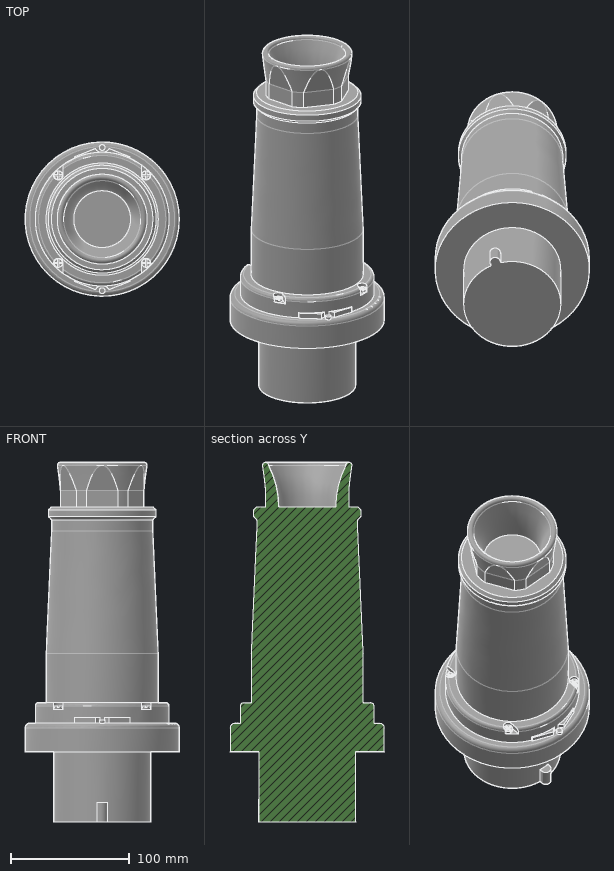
import cadquery as cq
import math

total_height = 303.0
flange_bottom = 59.0
flange_top = 83.3
collar_top = 100.5
barrel_top = 141.8
taper_top = 245.0
ring_bottom = 254.5
ring_top = 265.5
flare_bottom = 279.0

plug_radius = 41.0
flange_radius = 130.0 / 2
collar_radius = 56.5
barrel_radius = 47.3
neck_radius = 42.7
ring_radius = 45.5
nut_radius = 70.5 / 2
rim_radius = 38.0
cup_mouth_radius = 32.5
cup_floor_radius = 24.0

flange_fillet = 4.0
collar_fillet = 2.7
ring_chamfer = ring_radius - neck_radius
rim_round = (rim_radius - cup_mouth_radius) / 2
rim_base = total_height - rim_round

flat_distance = 32.7

key_radius = 8.8 / 2
key_height = 16.5
key_center_y = barrel_radius - key_radius

screw_offset = 37.0
screw_slot_radius = 4.0
screw_slot_depth = 5.8
screw_head_radius = 3.5
screw_head_height = 2.7
screw_cross_width = 1.2
screw_cross_depth = 1.2

pointer_height = 4.5
pointer_half_length = 23.3
pointer_end_y = 52.5
pointer_peak_x = 5.8
pointer_peak_y = 59.5
scoop_bottom_y = 56.0
pin_radius = 2.5
pin_center_y = 60.3
pin_height = 2.5


def turned(profile):
    """Closes a half profile and revolves it about the Z axis."""
    return profile.close().revolve(360, (0, 0, 0), (0, 1, 0))


def make_plug_and_flange():
    plug = cq.Workplane("XY").circle(plug_radius).extrude(flange_bottom)
    flange = (
        cq.Workplane("XY")
        .workplane(offset=flange_bottom)
        .circle(flange_radius)
        .extrude(flange_top - flange_bottom)
        .faces(">Z")
        .edges()
        .fillet(flange_fillet)
    )
    return plug.union(flange)


def make_key():
    """Upright key on the -Y side of the plug, with a rounded outer face."""
    block = (
        cq.Workplane("XY")
        .center(0, -key_center_y / 2)
        .rect(2 * key_radius, key_center_y)
        .extrude(key_height)
    )
    nose = cq.Workplane("XY").center(0, -key_center_y).circle(key_radius).extrude(key_height)
    return block.union(nose)


def make_collar():
    return (
        cq.Workplane("XY")
        .workplane(offset=flange_top)
        .circle(collar_radius)
        .extrude(collar_top - flange_top)
        .faces(">Z")
        .edges()
        .fillet(collar_fillet)
    )


def make_screw_slot(side_x, side_y):
    """U-shaped slot that opens outward along Y."""
    slot_bottom = collar_top - screw_slot_depth
    start = cq.Workplane("XY").workplane(offset=slot_bottom)
    round_end = (
        start.center(side_x * screw_offset, side_y * screw_offset)
        .circle(screw_slot_radius)
        .extrude(screw_slot_depth)
    )
    slot_length = collar_radius - screw_offset
    channel = (
        start.center(side_x * screw_offset, side_y * (screw_offset + slot_length / 2))
        .rect(2 * screw_slot_radius, slot_length)
        .extrude(screw_slot_depth)
    )
    return round_end.union(channel)


def make_screw_head(side_x, side_y):
    """Screw head on the slot floor with a cross recess in its top."""
    head = (
        cq.Workplane("XY")
        .workplane(offset=collar_top - screw_slot_depth)
        .center(side_x * screw_offset, side_y * screw_offset)
        .circle(screw_head_radius)
        .extrude(screw_head_height)
    )
    arm_length = 2 * screw_head_radius
    for size_x, size_y in ((arm_length, screw_cross_width), (screw_cross_width, arm_length)):
        groove = (
            cq.Workplane("XY")
            .workplane(offset=collar_top - screw_slot_depth + screw_head_height - screw_cross_depth)
            .center(side_x * screw_offset, side_y * screw_offset)
            .rect(size_x, size_y)
            .extrude(screw_cross_depth)
        )
        head = head.cut(groove)
    return head


def make_pointer():
    """Two-armed pointer on the -Y side, scooped around a small round pin."""
    arms = (
        cq.Workplane("XY")
        .workplane(offset=flange_top)
        .moveTo(-pointer_half_length, -barrel_radius)
        .lineTo(-pointer_half_length, -pointer_end_y)
        .lineTo(-pointer_peak_x, -pointer_peak_y)
        .threePointArc((0, -scoop_bottom_y), (pointer_peak_x, -pointer_peak_y))
        .lineTo(pointer_half_length, -pointer_end_y)
        .lineTo(pointer_half_length, -barrel_radius)
        .close()
        .extrude(pointer_height)
    )
    pin_bottom = flange_top - flange_fillet
    pin = (
        cq.Workplane("XY")
        .workplane(offset=pin_bottom)
        .center(0, -pin_center_y)
        .circle(pin_radius)
        .extrude(flange_top + pin_height - pin_bottom)
    )
    return arms.union(pin)


def make_body():
    """Straight barrel, tapered sleeve, neck and chamfered ring."""
    return turned(
        cq.Workplane("XZ")
        .moveTo(0, flange_top)
        .lineTo(barrel_radius, flange_top)
        .lineTo(barrel_radius, barrel_top)
        .lineTo(neck_radius, taper_top)
        .lineTo(neck_radius, ring_bottom)
        .lineTo(ring_radius, ring_bottom + ring_chamfer)
        .lineTo(ring_radius, ring_top - ring_chamfer)
        .lineTo(ring_radius - ring_chamfer, ring_top)
        .lineTo(0, ring_top)
    )


def make_nut():
    """Flared nut with six flats, a round rim and a bell-shaped cup."""
    cup_depth = rim_base - ring_top
    cup_flare = cup_mouth_radius - cup_floor_radius
    wall_arc_radius = (cup_depth**2 + cup_flare**2) / (2 * cup_flare)
    half_angle = math.asin(cup_depth / wall_arc_radius) / 2
    wall_middle = (
        cup_floor_radius + wall_arc_radius * (1 - math.cos(half_angle)),
        ring_top + wall_arc_radius * math.sin(half_angle),
    )
    shell = turned(
        cq.Workplane("XZ")
        .moveTo(cup_floor_radius, ring_top)
        .lineTo(nut_radius, ring_top)
        .lineTo(nut_radius, flare_bottom)
        .lineTo(rim_radius, rim_base)
        .threePointArc((rim_radius - rim_round, total_height), (cup_mouth_radius, rim_base))
        .threePointArc(wall_middle, (cup_floor_radius, ring_top))
    )
    outside = 2 * rim_radius
    cutter = (
        cq.Workplane("YZ")
        .moveTo(flat_distance, ring_top)
        .lineTo(flat_distance, flare_bottom)
        .lineTo(rim_radius, rim_base)
        .lineTo(outside, rim_base)
        .lineTo(outside, ring_top)
        .close()
        .extrude(rim_radius, both=True)
    )
    for flat in range(6):
        shell = shell.cut(cutter.rotate((0, 0, 0), (0, 0, 1), 60 * flat))
    return shell


collar = make_collar()
for side_x in (-1, 1):
    for side_y in (-1, 1):
        collar = collar.cut(make_screw_slot(side_x, side_y))
        collar = collar.union(make_screw_head(side_x, side_y))

result = make_plug_and_flange().union(make_key()).union(collar).union(make_body()).union(make_nut())
for angle in (0, 180):
    result = result.union(make_pointer().rotate((0, 0, 0), (0, 0, 1), angle))